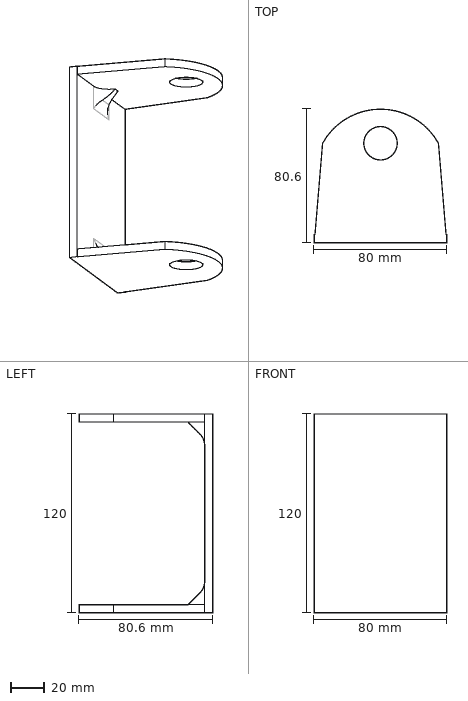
import cadquery as cq
import math

width = 80.0
height = 120.0
plate = 5.0

ear_shoulder_width = 70.0
pin_y = 60.0
pin_diameter = 20.0
ear_end_radius = 40.0

gusset_leg = 10.0
gusset_thickness = plate
gusset_fillet = gusset_leg
slope_angle = math.radians(45)


def make_wall():
    return cq.Workplane("XY").box(width, plate, height, centered=(True, False, False))


def make_ear(bottom_z):
    half_shoulder = ear_shoulder_width / 2
    half_root = width / 2
    arc_rise = ear_end_radius - math.sqrt(ear_end_radius**2 - half_shoulder**2)
    return (
        cq.Workplane("XY", origin=(0, 0, bottom_z))
        .moveTo(-half_root, 0)
        .lineTo(-half_shoulder, pin_y)
        .threePointArc((0, pin_y + arc_rise), (half_shoulder, pin_y))
        .lineTo(half_root, 0)
        .close()
        .moveTo(0, pin_y)
        .circle(pin_diameter / 2)
        .extrude(plate)
    )


def make_lower_gusset():
    """45 degree rib on the lower ear, blended into the wall by concave fillets."""
    tip_y = plate + gusset_leg
    half_tip = gusset_thickness / 2
    half_root = half_tip + gusset_fillet
    diagonal = gusset_fillet * math.sin(slope_angle)
    slope_tangent = gusset_fillet * math.tan(slope_angle / 2)

    arc_y = plate + gusset_fillet
    arc_z = plate + gusset_leg + slope_tangent
    arc_start = (arc_y - diagonal, arc_z - diagonal)
    mid_angle = slope_angle / 2
    arc_middle = (
        arc_y - gusset_fillet * math.cos(mid_angle),
        arc_z - gusset_fillet * math.sin(mid_angle),
    )
    side_profile = (
        cq.Workplane("YZ", origin=(-half_root, 0, 0))
        .moveTo(plate, plate)
        .lineTo(tip_y, plate)
        .lineTo(*arc_start)
        .threePointArc(arc_middle, (plate, arc_z))
        .close()
        .extrude(2 * half_root)
    )

    flare_x = half_root - diagonal
    flare_y = arc_y - diagonal
    flared_plan = (
        cq.Workplane("XY")
        .moveTo(-half_root, plate)
        .lineTo(half_root, plate)
        .threePointArc((flare_x, flare_y), (half_tip, tip_y))
        .lineTo(-half_tip, tip_y)
        .threePointArc((-flare_x, flare_y), (-half_root, plate))
        .close()
        .extrude(height / 2)
    )
    return side_profile.intersect(flared_plan)


lower_gusset = make_lower_gusset()
upper_gusset = lower_gusset.mirror("XY", (0, 0, height / 2))

result = make_wall()
for ear_bottom in (0, height - plate):
    result = result.union(make_ear(ear_bottom))
for gusset in (lower_gusset, upper_gusset):
    result = result.union(gusset)